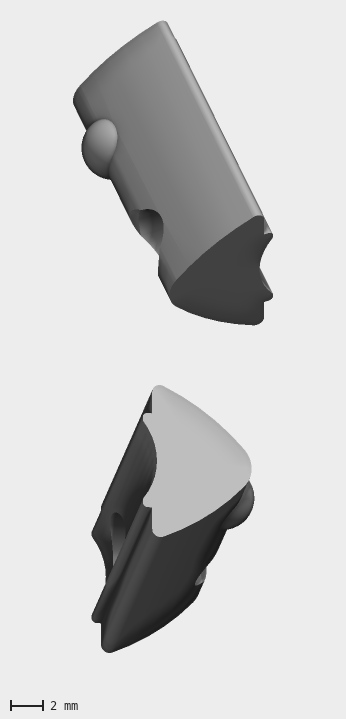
import cadquery as cq
import math

length = 17.0
height = 10.5
nose_depth = 6.3
nose_radius = 2.0
flank_radius = 15.0
corner_radius = 0.5

lip_height = 0.6
lip_outer_z = 3.25
lip_radius = 0.3
groove_depth = 0.3
groove_radius = 4.5

ball_x = 4.5
ball_radius = 2.0
ball_projection = 1.0

hole_x = 12.5
hole_diameter = 4.13
countersink_diameter = 5.0


def point_from(start, toward, distance):
    """Point at a signed distance from start along the line to toward."""
    span = math.dist(start, toward)
    return tuple(a + (b - a) * distance / span for a, b in zip(start, toward))


def arc_middle(center, start, end):
    """Middle point of the minor arc from start to end about center."""
    chord_middle = ((start[0] + end[0]) / 2, (start[1] + end[1]) / 2)
    return point_from(center, chord_middle, math.dist(center, start))


def find_flank_center(nose_center, corner_center):
    """Center of the flank arc that encloses and touches the nose and corner circles."""
    to_nose = flank_radius - nose_radius
    to_corner = flank_radius - corner_radius
    span = math.dist(nose_center, corner_center)
    along = (to_nose**2 - to_corner**2 + span**2) / (2 * span)
    across = math.sqrt(to_nose**2 - along**2)
    unit_y = (corner_center[0] - nose_center[0]) / span
    unit_z = (corner_center[1] - nose_center[1]) / span
    return (
        nose_center[0] + along * unit_y + across * unit_z,
        nose_center[1] + along * unit_z - across * unit_y,
    )


def find_inner_round_z(groove_center):
    """Height of the center of the lip's inner round, which touches the groove arc."""
    run = groove_center[0] - (lip_height - lip_radius)
    return math.sqrt((groove_radius + lip_radius) ** 2 - run**2)


def mirrored(point):
    return (point[0], -point[1])


def make_body():
    nose_center = (nose_radius - nose_depth, 0)
    corner_center = (-corner_radius, height / 2 - corner_radius)
    flank_center = find_flank_center(nose_center, corner_center)
    groove_center = (groove_radius - groove_depth, 0)
    outer_round_center = (lip_height - lip_radius, lip_outer_z - lip_radius)
    inner_round_center = (lip_height - lip_radius, find_inner_round_z(groove_center))

    nose_tip = (-nose_depth, 0)
    nose_end = point_from(flank_center, nose_center, flank_radius)
    corner_start = point_from(flank_center, corner_center, flank_radius)
    corner_end = (0, corner_center[1])
    lip_root = (0, lip_outer_z)
    lip_start = (outer_round_center[0], lip_outer_z)
    tip_outer = (lip_height, outer_round_center[1])
    tip_inner = (lip_height, inner_round_center[1])
    lip_end = point_from(inner_round_center, groove_center, lip_radius)
    groove_bottom = (-groove_depth, 0)

    flank_middle = arc_middle(flank_center, nose_end, corner_start)
    corner_middle = arc_middle(corner_center, corner_start, corner_end)
    outer_round_middle = arc_middle(outer_round_center, lip_start, tip_outer)
    inner_round_middle = arc_middle(inner_round_center, tip_inner, lip_end)

    return (
        cq.Workplane("YZ")
        .moveTo(*mirrored(nose_end))
        .threePointArc(nose_tip, nose_end)
        .threePointArc(flank_middle, corner_start)
        .threePointArc(corner_middle, corner_end)
        .lineTo(*lip_root)
        .lineTo(*lip_start)
        .threePointArc(outer_round_middle, tip_outer)
        .lineTo(*tip_inner)
        .threePointArc(inner_round_middle, lip_end)
        .threePointArc(groove_bottom, mirrored(lip_end))
        .threePointArc(mirrored(inner_round_middle), mirrored(tip_inner))
        .lineTo(*mirrored(tip_outer))
        .threePointArc(mirrored(outer_round_middle), mirrored(lip_start))
        .lineTo(*mirrored(lip_root))
        .lineTo(*mirrored(corner_end))
        .threePointArc(mirrored(corner_middle), mirrored(corner_start))
        .threePointArc(mirrored(flank_middle), mirrored(nose_end))
        .close()
        .extrude(length)
    )


def make_ball():
    ball_y = ball_radius - nose_depth - ball_projection
    return cq.Workplane("XZ").sphere(ball_radius).translate((ball_x, ball_y, 0))


def make_hole():
    """Cutting tool: a revolved bore along Y that widens to the countersink at the nose."""
    hole_radius = hole_diameter / 2
    sink_radius = countersink_diameter / 2
    sink_depth = sink_radius - hole_radius
    return (
        cq.Workplane("XY")
        .moveTo(0, -nose_depth)
        .lineTo(sink_radius, -nose_depth)
        .lineTo(hole_radius, sink_depth - nose_depth)
        .lineTo(hole_radius, lip_height)
        .lineTo(0, lip_height)
        .close()
        .revolve(360, (0, 0, 0), (0, 1, 0))
        .translate((hole_x, 0, 0))
    )


result = make_body().union(make_ball()).cut(make_hole())